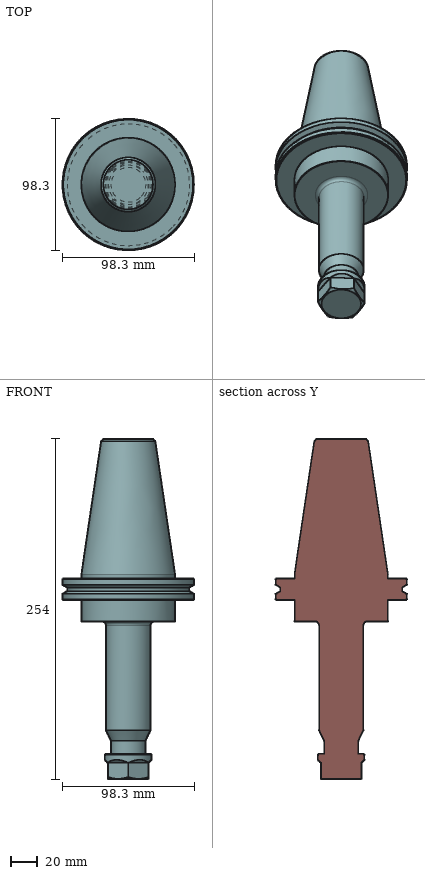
import cadquery as cq
import math

total_height = 254.0
gauge_z = 153.0
flange_top_z = 149.9
flange_bottom_z = 133.5
boss_bottom_z = 117.5
shank_bottom_z = 36.5
neck_top_z = 28.7
nut_top_z = 19.0
hex_top_z = 12.2

taper_top_radius = 20.3
taper_base_radius = 35.0
taper_top_chamfer = 1.8
boss_radius = taper_base_radius
boss_chamfer = 0.3
shank_radius = 16.8
shank_fillet = 2.8
neck_radius = 13.0

flange_radius = 98.3 / 2
flange_chamfer = 0.8
groove_root_radius = 91.2 / 2
groove_root_width = 2.5
groove_wall_angle = 30
groove_wall_height = (flange_radius - groove_root_radius) * math.tan(math.radians(groove_wall_angle))
groove_mouth_width = groove_root_width + 2 * groove_wall_height
groove_z = 141.7

collar_radius = 17.5
collar_chamfer = 0.8
hex_across_flats = 30.5
hex_relief_angle = 45
nut_end_radius = 14.7
nut_end_angle = 30


def make_holder_body():
    """Revolve the taper, flange, boss, shank and neck as one profile."""
    chamfer_base_z = total_height - taper_top_chamfer
    return (
        cq.Workplane("XZ")
        .moveTo(0, nut_top_z)
        .lineTo(neck_radius, nut_top_z)
        .lineTo(neck_radius, neck_top_z)
        .lineTo(shank_radius, shank_bottom_z)
        .lineTo(shank_radius, boss_bottom_z - shank_fillet)
        .radiusArc((shank_radius + shank_fillet, boss_bottom_z), shank_fillet)
        .lineTo(boss_radius - boss_chamfer, boss_bottom_z)
        .lineTo(boss_radius, boss_bottom_z + boss_chamfer)
        .lineTo(boss_radius, flange_bottom_z)
        .lineTo(flange_radius - flange_chamfer, flange_bottom_z)
        .lineTo(flange_radius, flange_bottom_z + flange_chamfer)
        .lineTo(flange_radius, groove_z - groove_mouth_width / 2)
        .lineTo(groove_root_radius, groove_z - groove_root_width / 2)
        .lineTo(groove_root_radius, groove_z + groove_root_width / 2)
        .lineTo(flange_radius, groove_z + groove_mouth_width / 2)
        .lineTo(flange_radius, flange_top_z - flange_chamfer)
        .lineTo(flange_radius - flange_chamfer, flange_top_z)
        .lineTo(taper_base_radius, flange_top_z)
        .lineTo(taper_base_radius, gauge_z)
        .lineTo(taper_top_radius, chamfer_base_z)
        .lineTo(taper_top_radius - taper_top_chamfer, total_height)
        .lineTo(0, total_height)
        .close()
        .revolve(360, (0, 0), (0, 1))
    )


def make_nut():
    """Intersect a chamfered round blank with a hexagon that flares out above its flats."""
    end_chamfer_height = (collar_radius - nut_end_radius) * math.tan(math.radians(nut_end_angle))
    blank = (
        cq.Workplane("XZ")
        .lineTo(nut_end_radius, 0)
        .lineTo(collar_radius, end_chamfer_height)
        .lineTo(collar_radius, nut_top_z - collar_chamfer)
        .lineTo(collar_radius - collar_chamfer, nut_top_z)
        .lineTo(0, nut_top_z)
        .close()
        .revolve(360, (0, 0), (0, 1))
    )
    corner_diameter = hex_across_flats / math.cos(math.radians(30))
    corner_angle = 90
    hexagon = (
        cq.Workplane("XY")
        .transformed(rotate=(0, 0, corner_angle))
        .polygon(6, corner_diameter)
        .extrude(hex_top_z)
    )
    flare = (
        cq.Workplane("XY", origin=(0, 0, hex_top_z))
        .transformed(rotate=(0, 0, corner_angle))
        .polygon(6, corner_diameter)
        .extrude(nut_top_z - hex_top_z, taper=-hex_relief_angle)
    )
    return blank.intersect(hexagon.union(flare))


result = make_holder_body().union(make_nut())